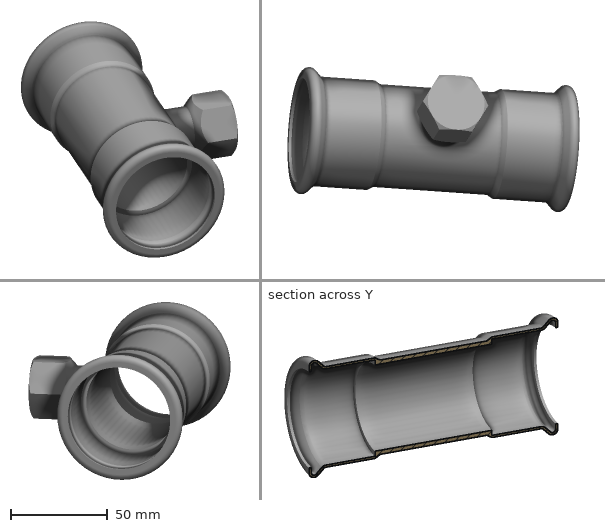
import cadquery as cq
import math

length = 142.0
half_length = length / 2
tube_radius = 53.4 / 2
socket_radius = 57.0 / 2
tube_bore_radius = 24.1
socket_bore_radius = 27.0
wall = socket_radius - socket_bore_radius

socket_end = 37.6
step_end = 40.6
step_fillet = 0.4

tolerance = 0.01

bead_radius = 3.1
bead_outer_diameter = 66.0
bead_centre_radius = bead_outer_diameter / 2 - bead_radius
bead_centre_x = bead_radius
bead_fillet = 1.4

overall_width = 91.0
branch_end = overall_width - bead_outer_diameter / 2
neck_radius = 23.9 / 2
neck_fillet = 1.4
hex_flats = 30.0
hex_corner_radius = hex_flats / 2 / math.cos(math.pi / 6)
hex_top_chamfer = 1.4
hex_edge_start = 40.9
cone_start = hex_edge_start - (hex_corner_radius - neck_radius)

groove_arc_radius = bead_radius - wall
groove_fillet = bead_fillet + wall


def cone_leaves_rim(rim_radius):
    """Point (x, radius) where the 45 degree cone is tangent to the rim arc."""
    offset = rim_radius * math.sqrt(0.5)
    return bead_centre_x + offset, bead_centre_radius + offset


def cone_meets_cylinder(rim_radius, cylinder_radius):
    """X at which the cone leaving the rim arc reaches a cylinder."""
    x, radius = cone_leaves_rim(rim_radius)
    return x + radius - cylinder_radius


def rim_arc_middle(rim_radius):
    """Point halfway round the 135 degree rim arc."""
    angle = math.radians(180 - 135 / 2)
    return (
        bead_centre_x + rim_radius * math.cos(angle),
        bead_centre_radius + rim_radius * math.sin(angle),
    )


def revolve_about_x(profile):
    return profile.close().revolve(360, (0, 0, 0), (1, 0, 0))


def fillet_ring(body, x, radius):
    """Round the circular edge around the X axis at the given x."""
    ring = cq.selectors.BoxSelector(
        (x - tolerance, -length, -length), (x + tolerance, length, length), boundingbox=True
    )
    return body.edges(ring).fillet(radius)


def half_run_blank():
    """Solid outside shape of the pipe from its -X end to the middle."""
    cone_end = cone_meets_cylinder(bead_radius, socket_radius)
    blank = revolve_about_x(
        cq.Workplane("XY")
        .moveTo(0, 0)
        .lineTo(0, bead_centre_radius)
        .threePointArc(rim_arc_middle(bead_radius), cone_leaves_rim(bead_radius))
        .lineTo(cone_end, socket_radius)
        .lineTo(socket_end, socket_radius)
        .lineTo(step_end, tube_radius)
        .lineTo(half_length, tube_radius)
        .lineTo(half_length, 0)
    )
    blank = fillet_ring(blank, cone_end, bead_fillet)
    blank = fillet_ring(blank, socket_end, step_fillet)
    blank = fillet_ring(blank, step_end, step_fillet)
    return blank.translate((-half_length, 0, 0))


def half_run_bore():
    """Space inside the pipe from its -X end to the middle."""
    groove_end = cone_meets_cylinder(groove_arc_radius, socket_bore_radius)
    bore = revolve_about_x(
        cq.Workplane("XY")
        .moveTo(0, 0)
        .lineTo(0, socket_bore_radius)
        .lineTo(wall, socket_bore_radius)
        .lineTo(wall, bead_centre_radius)
        .threePointArc(rim_arc_middle(groove_arc_radius), cone_leaves_rim(groove_arc_radius))
        .lineTo(groove_end, socket_bore_radius)
        .lineTo(socket_end, socket_bore_radius)
        .lineTo(socket_end, tube_bore_radius)
        .lineTo(half_length, tube_bore_radius)
        .lineTo(half_length, 0)
    )
    bore = fillet_ring(bore, groove_end, groove_fillet)
    return bore.translate((-half_length, 0, 0))


def mirrored(half):
    return half.union(half.mirror("YZ"))


def hex_head():
    """Hexagon with corners on +X and -X, trimmed by cones at both ends."""
    prism = (
        cq.Workplane("XZ", origin=(0, branch_end, 0))
        .polygon(6, 2 * hex_corner_radius)
        .extrude(branch_end - cone_start)
    )
    envelope = (
        cq.Workplane("XY")
        .moveTo(0, cone_start)
        .lineTo(neck_radius, cone_start)
        .lineTo(hex_corner_radius, hex_edge_start)
        .lineTo(hex_corner_radius, branch_end - hex_top_chamfer)
        .lineTo(hex_flats / 2, branch_end)
        .lineTo(0, branch_end)
        .close()
        .revolve(360, (0, 0, 0), (0, 1, 0))
    )
    return prism.intersect(envelope)


def add_neck(body):
    """Join the round neck to the pipe and blend the seam."""
    neck = cq.Workplane("XZ").circle(neck_radius).extrude(-cone_start)
    seam_half_width = neck_radius + tolerance
    seam = cq.selectors.BoxSelector(
        (-seam_half_width, 0, -seam_half_width),
        (seam_half_width, tube_radius + tolerance, seam_half_width),
        boundingbox=True,
    )
    return body.union(neck).edges(seam).fillet(neck_fillet)


result = add_neck(mirrored(half_run_blank()))
result = result.union(hex_head()).cut(mirrored(half_run_bore()))